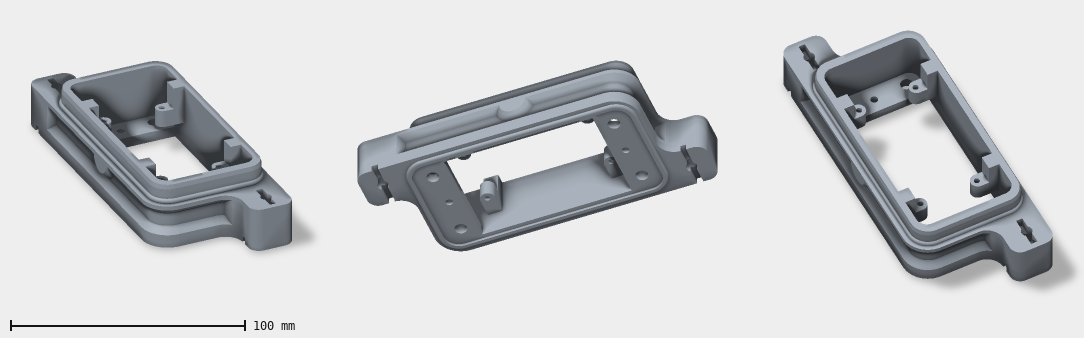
import cadquery as cq
import math

total_length = 145.0
total_width = 58.0
total_height = 30.25
body_length = 108.0

base_lip_height = 1.25
flange_top = 21.25
flange_height = flange_top - base_lip_height

body_corner_radius = 12.0
ear_width = 20.0
ear_corner_radius = 5.0
ear_root_radius = 8.0
half_length = total_length / 2
half_width = total_width / 2
half_body = body_length / 2
ear_inner_y = half_width - ear_width
root_center_x = half_body + ear_root_radius
root_center_y = ear_inner_y - ear_root_radius

collar_length = 103.0
collar_width = 52.0
collar_corner_radius = 8.5
collar_draft_height = 2.0
collar_draft_inset = 0.5

rim_overhang = 1.0
rim_length = collar_length + 2 * rim_overhang
rim_width = collar_width + 2 * rim_overhang
rim_corner_radius = collar_corner_radius + rim_overhang
rim_radius = base_lip_height
rim_thickness = 2.5

cavity_length = 94.0
cavity_width = 45.0
cavity_corner_radius = 5.0
shelf_height = 6.0
opening_length = 68.5
shelf_hole_diameter = 5.5
shelf_hole_x = 41.5
shelf_hole_y = 16.0
center_hole_diameter = 3.3
center_hole_x = 40.5

post_x = 28.4
post_width = 6.6
post_tip_y = 10.6
post_step_y = 17.6
post_bottom = 12.5
post_seat = 20.25
post_hole_diameter = 2.6
post_hole_y = 13.5

ear_hole_x = 63.0
ear_center_y = half_width - ear_width / 2
ear_hole_y = 19.5
ear_hole_diameter = 5.0
ear_slot_length = 14.0
ear_slot_width = 3.0
ear_slot_depth = 5.0
ear_notch_height = 3.0

groove_depth = 3.0
groove_bottom = 7.25
groove_top = 19.25
groove_floor_bottom = groove_bottom + groove_depth
groove_floor_top = groove_top - groove_depth
groove_flank_angle = 45.0
groove_start_x = 53.0
groove_end_angle = 45.0
groove_floor_end_angle = 22.5
thumb_boss_radius = 6.0


def rounded_block(length, width, radius, bottom, height):
    block = cq.Workplane("XY").workplane(offset=bottom).rect(length, width).extrude(height)
    return block.edges("|Z").fillet(radius)


def through_holes(diameter, points):
    return cq.Workplane("XY").pushPoints(points).circle(diameter / 2).extrude(total_height)


def four_corners(x, y):
    return [(sx * x, sy * y) for sx in (-1, 1) for sy in (-1, 1)]


def both_ends(shape):
    """Return the shape together with its copy turned half a turn about Z."""
    return shape.union(shape.rotate((0, 0, 0), (0, 0, 1), 180))


def point_on_arc(center_x, center_y, radius, angle):
    direction = math.radians(angle)
    return (center_x + radius * math.cos(direction), center_y + radius * math.sin(direction))


def flange_outline(bottom, inset=0.0):
    """Closed outline of block and ears, moved inwards by the inset."""
    body_r = body_corner_radius
    ear_r = ear_corner_radius
    ear_end_x = half_length - ear_r
    ear_low_y = ear_inner_y + ear_r
    ear_high_y = half_width - ear_r
    body_end_x = half_body - body_r
    body_end_y = half_width - body_r
    line = cq.Workplane("XY").workplane(offset=bottom).moveTo(half_body, -body_end_y)
    for turn in (1, -1):
        def turned(x, y):
            return (turn * x, turn * y)

        line = (
            line.lineTo(*turned(half_body, root_center_y))
            .threePointArc(
                turned(*point_on_arc(root_center_x, root_center_y, ear_root_radius, 135)),
                turned(root_center_x, ear_inner_y),
            )
            .lineTo(*turned(ear_end_x, ear_inner_y))
            .threePointArc(
                turned(*point_on_arc(ear_end_x, ear_low_y, ear_r, -45)),
                turned(half_length, ear_low_y),
            )
            .lineTo(*turned(half_length, ear_high_y))
            .threePointArc(
                turned(*point_on_arc(ear_end_x, ear_high_y, ear_r, 45)),
                turned(ear_end_x, half_width),
            )
            .lineTo(*turned(-body_end_x, half_width))
            .threePointArc(
                turned(*point_on_arc(-body_end_x, body_end_y, body_r, 135)),
                turned(-half_body, body_end_y),
            )
        )
    line = line.close()
    if inset:
        line = line.offset2D(-inset)
    return line


def rounded_rectangle(length, width, radius, level):
    """Closed path that starts at the middle of its -Y side."""
    x = length / 2
    y = width / 2
    return (
        cq.Workplane("XY").workplane(offset=level)
        .moveTo(0, -y)
        .lineTo(x - radius, -y)
        .radiusArc((x, radius - y), -radius)
        .lineTo(x, y - radius)
        .radiusArc((x - radius, y), -radius)
        .lineTo(radius - x, y)
        .radiusArc((-x, y - radius), -radius)
        .lineTo(-x, radius - y)
        .radiusArc((radius - x, -y), -radius)
        .close()
    )


def sealing_rim(level, with_upper_half):
    """Ring that rounds inwards below its widest level and, if asked, above it as well."""
    outer = rim_width / 2
    round_center = outer - rim_radius
    inner = outer - rim_thickness
    path = rounded_rectangle(rim_length, rim_width, rim_corner_radius, level)
    section = (
        cq.Workplane("YZ")
        .moveTo(-inner, level - rim_radius)
        .lineTo(-round_center, level - rim_radius)
        .radiusArc((-outer, level), rim_radius)
    )
    if with_upper_half:
        section = section.radiusArc((-round_center, level + rim_radius), rim_radius)
        section = section.lineTo(-inner, level + rim_radius)
    else:
        section = section.lineTo(-inner, level)
    return section.close().sweep(path)


def groove_cutter():
    """Groove along the -Y side and round the +X corner, cut off at both ends by upright planes."""
    depth = groove_depth
    floor_height = groove_floor_top - groove_floor_bottom
    waist = flange_outline(groove_bottom).extrude(depth, taper=groove_flank_angle)
    waist = waist.union(flange_outline(groove_floor_bottom, depth).extrude(floor_height))
    waist = waist.union(flange_outline(groove_top).extrude(-depth, taper=groove_flank_angle))

    outer_end = point_on_arc(root_center_x, root_center_y, ear_root_radius, 180 - groove_end_angle)
    floor_end = point_on_arc(
        root_center_x, root_center_y, ear_root_radius + depth, 180 - groove_floor_end_angle
    )
    reach_x = outer_end[0] - floor_end[0]
    reach_y = outer_end[1] - floor_end[1]
    region = (
        cq.Workplane("XY").workplane(offset=groove_bottom)
        .moveTo(-groove_start_x - depth, -half_width - depth)
        .lineTo(-groove_start_x + 2 * depth, -half_width + 2 * depth)
        .lineTo(floor_end[0] - reach_x, floor_end[1] - reach_y)
        .lineTo(outer_end[0] + reach_x, outer_end[1] + reach_y)
        .lineTo(outer_end[0] + reach_x, -half_width - depth)
        .close()
        .extrude(groove_top - groove_bottom)
    )
    boss = (
        cq.Workplane("XZ", origin=(0, -half_width, groove_top))
        .circle(thumb_boss_radius)
        .workplane(offset=-depth).circle(thumb_boss_radius + depth)
        .loft()
    )
    return region.cut(waist).cut(boss)


def collar():
    straight_top = total_height - collar_draft_height
    straight = rounded_block(
        collar_length, collar_width, collar_corner_radius, flange_top, straight_top - flange_top
    )
    draft = math.degrees(math.atan(collar_draft_inset / collar_draft_height))
    crown = rounded_rectangle(collar_length, collar_width, collar_corner_radius, straight_top)
    return straight.union(crown.extrude(collar_draft_height, taper=draft))


def cavity():
    inside = rounded_block(
        cavity_length, cavity_width, cavity_corner_radius, shelf_height, total_height
    )
    opening = cq.Workplane("XY").rect(opening_length, cavity_width).extrude(total_height)
    return inside.union(opening)


def screw_post():
    """Stepped post on the +Y wall in the +X half of the cavity."""
    tip_radius = post_width / 2
    tip_center_y = post_tip_y + tip_radius
    left = post_x - tip_radius
    right = post_x + tip_radius
    foot = (
        cq.Workplane("XY").workplane(offset=post_bottom)
        .moveTo(left, cavity_width / 2)
        .lineTo(left, tip_center_y)
        .threePointArc((post_x, post_tip_y), (right, tip_center_y))
        .lineTo(right, cavity_width / 2)
        .close()
        .extrude(post_seat - post_bottom)
    )
    upright = (
        cq.Workplane("XY").workplane(offset=post_bottom)
        .moveTo(left, post_step_y)
        .rect(post_width, cavity_width / 2 - post_step_y, centered=False)
        .extrude(total_height - post_bottom)
    )
    return foot.union(upright)


def ear_fixing():
    """Hole, slot from above and cross notch from below in the +X ear."""
    hole = through_holes(ear_hole_diameter, [(ear_hole_x, ear_hole_y)])
    slot = (
        cq.Workplane("XY").workplane(offset=flange_top)
        .center(ear_hole_x, ear_hole_y)
        .rect(ear_slot_length, ear_slot_width)
        .extrude(-ear_slot_depth)
    )
    notch = (
        cq.Workplane("XY").workplane(offset=base_lip_height)
        .center(ear_hole_x, ear_center_y)
        .rect(ear_slot_width, ear_width)
        .extrude(ear_notch_height)
    )
    return hole.union(slot).union(notch)


flange = flange_outline(base_lip_height).extrude(flange_height)
flange = flange.cut(both_ends(groove_cutter()))
flange = flange.cut(both_ends(ear_fixing()))
frame = flange.union(collar())
frame = frame.union(sealing_rim(base_lip_height, with_upper_half=False))
frame = frame.union(sealing_rim(flange_top + rim_radius, with_upper_half=True))

frame = frame.cut(cavity())
post = screw_post()
posts = both_ends(post.union(post.mirror("YZ")))
frame = frame.union(posts)
frame = frame.cut(through_holes(post_hole_diameter, four_corners(post_x, post_hole_y)))
frame = frame.cut(through_holes(shelf_hole_diameter, four_corners(shelf_hole_x, shelf_hole_y)))
frame = frame.cut(through_holes(center_hole_diameter, [(-center_hole_x, 0), (center_hole_x, 0)]))

result = frame